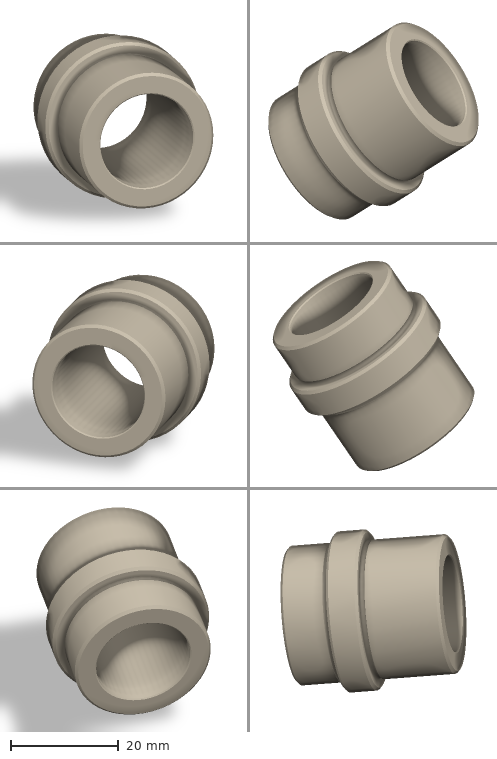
import cadquery as cq

bushing_length = 30.0
body_radius = 26.0 / 2
bore_radius = 18.0 / 2

collar_start = 9.0
collar_width = 6.0
collar_end = collar_start + collar_width
collar_radius = 30.0 / 2

outer_chamfer = 0.5
bore_chamfer = 0.2

groove_width = 1.0
groove_depth = 0.42


def cylinder(radius, start, end):
    """Solid cylinder along X between two stations."""
    return cq.Workplane("YZ").workplane(offset=start).circle(radius).extrude(end - start)


def relief_groove(start):
    """Ring with a round bottom, cut into the body from the given station."""
    end = start + groove_width
    middle = start + groove_width / 2
    return (
        cq.Workplane("XY")
        .moveTo(start, body_radius)
        .threePointArc((middle, body_radius - groove_depth), (end, body_radius))
        .close()
        .revolve(360, (0, 0, 0), (1, 0, 0))
    )


body = cylinder(body_radius, 0, bushing_length).edges().chamfer(outer_chamfer)
collar = cylinder(collar_radius, collar_start, collar_end).edges().chamfer(outer_chamfer)
result = body.union(collar)

for groove_start in (collar_start - groove_width, collar_end):
    result = result.cut(relief_groove(groove_start))

result = result.cut(cylinder(bore_radius, 0, bushing_length))
smallest_circles = cq.selectors.RadiusNthSelector(0)
result = result.faces("<X or >X").edges(smallest_circles).chamfer(bore_chamfer)